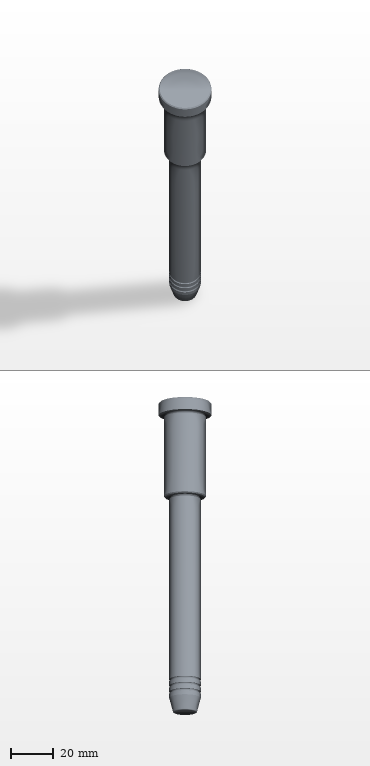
import cadquery as cq
import math

total_length = 151.0
head_height = 6.0
collar_length = 40.0
tip_length = 7.0

head_diameter = 25.0
collar_diameter = 20.0
pin_diameter = 15.0

edge_chamfer = 0.5
tip_fillet = 0.5
tip_angle = 15.0

neck_width = 1.0
neck_depth = 0.5

groove_radius = 0.5
pin_groove_count = 3
pin_groove_pitch = 3.0
tip_to_first_groove = 2.5

head_bottom = total_length - head_height
collar_bottom = head_bottom - collar_length
tip_end_diameter = pin_diameter - 2 * tip_length * math.tan(math.radians(tip_angle))
neck_diameter = pin_diameter - 2 * neck_depth
neck_bottom = collar_bottom - neck_width


def cylinder(diameter, bottom, top):
    """Solid cylinder on the Z axis between two heights."""
    return cq.Workplane("XY").workplane(offset=bottom).circle(diameter / 2).extrude(top - bottom)


def make_head():
    head = cylinder(head_diameter, head_bottom, total_length)
    return head.faces(">Z").chamfer(edge_chamfer)


def make_collar():
    collar = cylinder(collar_diameter, collar_bottom, head_bottom)
    return collar.faces("<Z").chamfer(edge_chamfer)


def make_pin():
    """Straight shank with a narrower neck at its upper end."""
    shank = cylinder(pin_diameter, tip_length, neck_bottom)
    neck = cylinder(neck_diameter, neck_bottom, collar_bottom)
    return shank.union(neck)


def make_tip():
    """Cone that narrows downwards to a rounded end."""
    cone = (
        cq.Workplane("XY")
        .circle(tip_end_diameter / 2)
        .workplane(offset=tip_length)
        .circle(pin_diameter / 2)
        .loft()
    )
    return cone.faces("<Z").edges().fillet(tip_fillet)


def groove_cutter(diameter, height):
    """Round-section ring whose inner half cuts a groove into a cylinder."""
    return (
        cq.Workplane("XZ")
        .center(diameter / 2, height)
        .circle(groove_radius)
        .revolve(360, (-diameter / 2, 0), (-diameter / 2, 1))
    )


result = make_tip().union(make_pin()).union(make_collar()).union(make_head())

result = result.cut(groove_cutter(collar_diameter, head_bottom - groove_radius))

first_groove_height = tip_length + tip_to_first_groove
for index in range(pin_groove_count):
    groove_height = first_groove_height + index * pin_groove_pitch
    result = result.cut(groove_cutter(pin_diameter, groove_height))